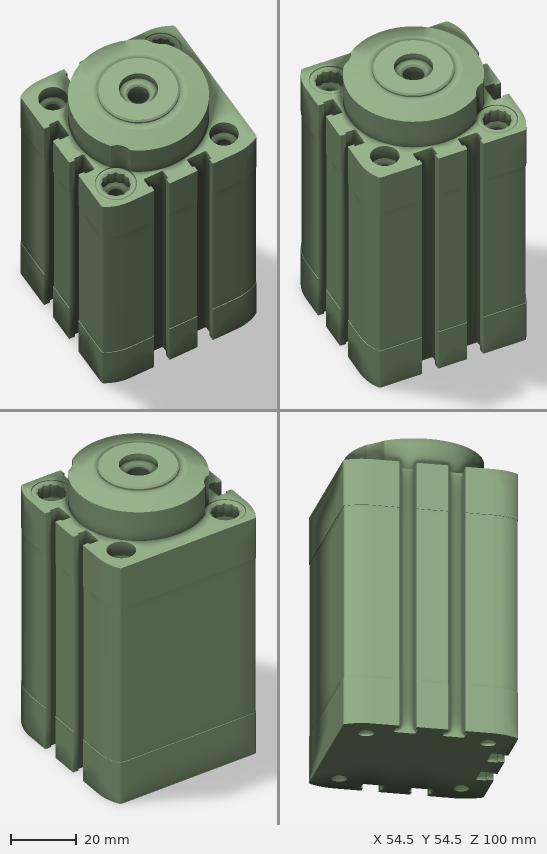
import cadquery as cq
import math

TOTAL_HEIGHT = 100
HOUSING_HEIGHT = 86.5
CAP_HEIGHT = 15

CAP_WIDTH = 54.5
TUBE_INSET = 0.2
CORNER_START = 18.8
CORNER_RADIUS = 15.5
EDGE_RADIUS = 1

SLOT_OFFSET = 7.6
SLOT_MOUTH_WIDTH = 5.3
SLOT_INNER_WIDTH = 6.8
SLOT_FLOOR = 21.8
SLOT_LIP = 25.2
SLOT_EDGE_RADIUS = 0.3
SLOT_FLOOR_RADIUS = 0.5

HOLE_SPACING = 38
THROUGH_DIAMETER = 4.9
PILOT_CHAMFER = 0.6
COUNTERBORE_DIAMETER = 9
COUNTERBORE_DEPTH = 5

GROOVE_DIAMETER = 12.8
GROOVE_WIDTH = 0.4
SOCKET_DIAMETER = 8.6
SOCKET_TIP_DIAMETER = 9.3
SOCKET_MOUTH_DIAMETER = 10.1
SOCKET_MOUTH_DEPTH = 0.5
SOCKET_DEPTH = 5
TOOTH_COUNT = 12
TOOTH_FACE_ANGLE = 9

COLLAR_DIAMETER = 43
COLLAR_FLAT_DIAMETER = 29.8
COLLAR_EDGE_HEIGHT = 97
COLLAR_TOP = 98.9

ROD_DIAMETER = 25
ROD_CHAMFER = 0.5
ROD_LENGTH = TOTAL_HEIGHT - CAP_HEIGHT
ROD_RECESS_DIAMETER = 12
ROD_RECESS_DEPTH = 2.5
ROD_BORE_DIAMETER = 6.6
ROD_BORE_CHAMFER = 0.6
ROD_BORE_DEPTH = 20
DRILL_POINT_ANGLE = 120


def drum(diameter, bottom, top):
    """Upright cylinder on the Z axis."""
    return cq.Workplane("XY").workplane(offset=bottom).circle(diameter / 2).extrude(top - bottom)


def cone(lower_diameter, upper_diameter, bottom, top):
    """Upright cone, or slice of a cone, on the Z axis."""
    base = cq.Vector(0, 0, bottom)
    return cq.Workplane(cq.Solid.makeCone(lower_diameter / 2, upper_diameter / 2, top - bottom, base))


def square_block(half_width, bottom, top):
    """Square block whose X sides curve inward towards the four rounded corner edges."""
    w = half_width
    rise = w - CORNER_START
    drop = CORNER_RADIUS - math.sqrt(CORNER_RADIUS**2 - rise**2)
    corner_x = w - drop
    outline = (
        cq.Workplane("XY").workplane(offset=bottom)
        .moveTo(w, -CORNER_START)
        .lineTo(w, CORNER_START)
        .radiusArc((corner_x, w), -CORNER_RADIUS)
        .lineTo(-corner_x, w)
        .radiusArc((-w, CORNER_START), -CORNER_RADIUS)
        .lineTo(-w, -CORNER_START)
        .radiusArc((-corner_x, -w), -CORNER_RADIUS)
        .lineTo(corner_x, -w)
        .radiusArc((w, -CORNER_START), -CORNER_RADIUS)
        .close()
    )
    block = outline.extrude(top - bottom)
    for x in (-corner_x, corner_x):
        for y in (-w, w):
            corner = cq.selectors.NearestToPointSelector((x, y, (bottom + top) / 2))
            block = block.edges(corner).fillet(EDGE_RADIUS)
    return block


def slot_cutter(half_width, bottom, top):
    """One undercut slot opening on the -Y side, centred on X = 0."""
    mouth = SLOT_MOUTH_WIDTH / 2
    inner = SLOT_INNER_WIDTH / 2
    edge = SLOT_EDGE_RADIUS
    floor = SLOT_FLOOR_RADIUS
    return (
        cq.Workplane("XY").workplane(offset=bottom)
        .moveTo(floor - inner, -SLOT_FLOOR)
        .radiusArc((-inner, -SLOT_FLOOR - floor), -floor)
        .lineTo(-inner, -SLOT_LIP)
        .lineTo(-mouth, -SLOT_LIP)
        .lineTo(-mouth, edge - half_width)
        .radiusArc((-mouth - edge, -half_width), edge)
        .lineTo(mouth + edge, -half_width)
        .radiusArc((mouth, edge - half_width), edge)
        .lineTo(mouth, -SLOT_LIP)
        .lineTo(inner, -SLOT_LIP)
        .lineTo(inner, -SLOT_FLOOR - floor)
        .radiusArc((inner - floor, -SLOT_FLOOR), -floor)
        .close()
        .extrude(top - bottom)
    )


def profile_section(half_width, bottom, top):
    """Length of housing with two slots on each of the -Y, +X and -X sides."""
    section = square_block(half_width, bottom, top)
    slot = slot_cutter(half_width, bottom, top)
    for turn in (0, 90, -90):
        for offset in (-SLOT_OFFSET, SLOT_OFFSET):
            placed = slot.translate((offset, 0, 0)).rotate((0, 0, 0), (0, 0, 1), turn)
            section = section.cut(placed)
    return section


def through_hole(floor):
    """Through hole with a chamfer where it meets a wider bore's floor."""
    chamfer_diameter = THROUGH_DIAMETER + 2 * PILOT_CHAMFER
    chamfer = cone(THROUGH_DIAMETER, chamfer_diameter, floor - PILOT_CHAMFER, floor)
    return drum(THROUGH_DIAMETER, 0, floor).union(chamfer)


def plain_hole():
    floor = HOUSING_HEIGHT - COUNTERBORE_DEPTH
    return through_hole(floor).union(drum(COUNTERBORE_DIAMETER, floor, HOUSING_HEIGHT))


def toothed_bore(bottom, top):
    """Bore with a V notch between each pair of neighbouring flat-faced teeth."""
    pitch = 360 / TOOTH_COUNT
    points = []
    for tooth in range(TOOTH_COUNT):
        notch_angle = tooth * pitch
        face_start = notch_angle + (pitch - TOOTH_FACE_ANGLE) / 2
        face_end = face_start + TOOTH_FACE_ANGLE
        for diameter, angle in (
            (SOCKET_TIP_DIAMETER, notch_angle),
            (SOCKET_DIAMETER, face_start),
            (SOCKET_DIAMETER, face_end),
        ):
            turn = math.radians(angle)
            points.append((diameter / 2 * math.cos(turn), diameter / 2 * math.sin(turn)))
    return cq.Workplane("XY").workplane(offset=bottom).polyline(points).close().extrude(top - bottom)


def socket_hole():
    floor = HOUSING_HEIGHT - SOCKET_DEPTH
    mouth_bottom = HOUSING_HEIGHT - SOCKET_MOUTH_DEPTH
    mouth = cone(SOCKET_DIAMETER, SOCKET_MOUTH_DIAMETER, mouth_bottom, HOUSING_HEIGHT)
    return through_hole(floor).union(toothed_bore(floor, HOUSING_HEIGHT)).union(mouth)


def socket_surround():
    """V groove round the socket, and the clearance that continues it up through the collar."""
    groove_bottom = HOUSING_HEIGHT - GROOVE_WIDTH
    island = cone(GROOVE_DIAMETER, GROOVE_DIAMETER - 2 * GROOVE_WIDTH, groove_bottom, HOUSING_HEIGHT)
    return drum(GROOVE_DIAMETER, groove_bottom, TOTAL_HEIGHT).cut(island)


def collar():
    edge = drum(COLLAR_DIAMETER, HOUSING_HEIGHT, COLLAR_EDGE_HEIGHT)
    return edge.union(cone(COLLAR_DIAMETER, COLLAR_FLAT_DIAMETER, COLLAR_EDGE_HEIGHT, COLLAR_TOP))


def make_housing():
    cap_half = CAP_WIDTH / 2
    tube_top = HOUSING_HEIGHT - CAP_HEIGHT
    body = profile_section(cap_half, 0, CAP_HEIGHT)
    body = body.union(profile_section(cap_half - TUBE_INSET, CAP_HEIGHT, tube_top))
    body = body.union(profile_section(cap_half, tube_top, HOUSING_HEIGHT))
    body = body.union(collar())

    hole = HOLE_SPACING / 2
    for side in (-hole, hole):
        body = body.cut(socket_surround().translate((side, -side, 0)))
        body = body.cut(socket_hole().translate((side, -side, 0)))
        body = body.cut(plain_hole().translate((side, side, 0)))
    return body.cut(drum(ROD_DIAMETER, TOTAL_HEIGHT - ROD_LENGTH, TOTAL_HEIGHT))


def make_rod():
    recess_floor = TOTAL_HEIGHT - ROD_RECESS_DEPTH
    bore_bottom = recess_floor - ROD_BORE_DEPTH
    point_length = ROD_BORE_DIAMETER / 2 / math.tan(math.radians(DRILL_POINT_ANGLE / 2))
    bore_mouth = ROD_BORE_DIAMETER + 2 * ROD_BORE_CHAMFER

    rod = drum(ROD_DIAMETER, TOTAL_HEIGHT - ROD_LENGTH, TOTAL_HEIGHT)
    rod = rod.faces(">Z").edges().chamfer(ROD_CHAMFER)
    rod = rod.cut(drum(ROD_RECESS_DIAMETER, recess_floor, TOTAL_HEIGHT))
    rod = rod.cut(cone(ROD_BORE_DIAMETER, bore_mouth, recess_floor - ROD_BORE_CHAMFER, recess_floor))
    rod = rod.cut(drum(ROD_BORE_DIAMETER, bore_bottom, recess_floor))
    return rod.cut(cone(0, ROD_BORE_DIAMETER, bore_bottom - point_length, bore_bottom))


housing = make_housing()
piston_rod = make_rod()
result = cq.Compound.makeCompound([housing.solids().val(), piston_rod.solids().val()])